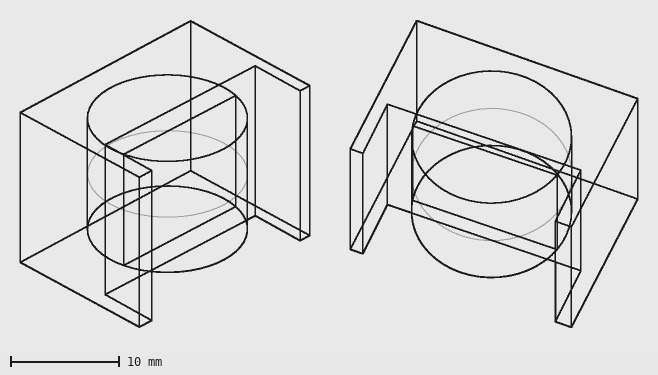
import cadquery as cq

length_x = 15.53
width_y = 22.1
height_z = 16.37

bay_back_x = 9.5
bay_center_y = 0.25
bay_width = 19.22
bay_tilt = 0.7
bay_depth = length_x

wheel_radius = 7.35
wheel_center_x = 7.89
wheel_center_y = 0.2
wheel_inset = 2.12
wheel_thickness = height_z - 2 * wheel_inset


def make_wheel():
    """Upright-axis disc, midway up the housing."""
    return (
        cq.Workplane("XY")
        .circle(wheel_radius)
        .extrude(wheel_thickness / 2, both=True)
        .translate((wheel_center_x - length_x / 2, wheel_center_y, 0))
    )


def make_bay():
    """Cutter for the bay, open at the top, bottom and +X side."""
    return (
        cq.Workplane("XY")
        .box(bay_depth, bay_width, height_z, centered=(False, True, True))
        .rotate((0, 0, 0), (0, 0, 1), -bay_tilt)
        .translate((bay_back_x - length_x / 2, bay_center_y, 0))
    )


def make_housing():
    """Block with two side walls and a recess that matches the wheel."""
    block = cq.Workplane("XY").box(length_x, width_y, height_z)
    return block.cut(make_bay()).cut(make_wheel())


housing = make_housing()
wheel = make_wheel()

result = cq.Compound.makeCompound([housing.val(), wheel.val()])